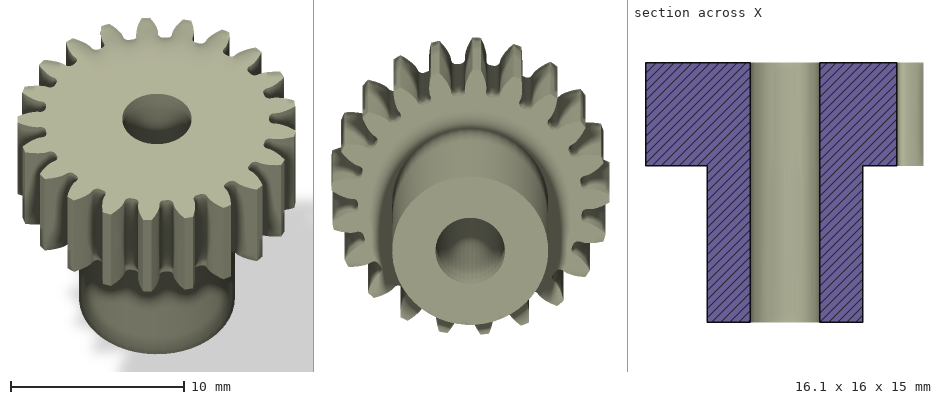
import cadquery as cq
import math

tooth_count = 21
tip_diameter = 16.1
pressure_angle = math.radians(20)
root_fillet = 0.3
gear_width = 6.0
hub_diameter = 9.0
hub_length = 9.0
bore_diameter = 4.0
first_tooth_angle = math.radians(-90)
flank_steps = 8

addendum_factor = 1.0
dedendum_factor = 1.25
module = tip_diameter / (tooth_count + 2 * addendum_factor)
pitch_radius = module * tooth_count / 2
tip_radius = tip_diameter / 2
base_radius = pitch_radius * math.cos(pressure_angle)
root_radius = pitch_radius - dedendum_factor * module
tooth_pitch = 2 * math.pi / tooth_count

fillet_center_radius = root_radius + root_fillet
fillet_angle = math.asin(root_fillet / fillet_center_radius)
fillet_top_radius = fillet_center_radius * math.cos(fillet_angle)


def polar(radius, angle):
    return cq.Vector(radius * math.cos(angle), radius * math.sin(angle))


def involute(angle):
    return math.tan(angle) - angle


base_half_angle = tooth_pitch / 4 + involute(pressure_angle)


def half_angle_at(radius):
    """Half the angle that a tooth spans at a radius on its involute flank."""
    return base_half_angle - involute(math.acos(base_radius / radius))


def flank_points(tooth_angle, side):
    """Involute points from base circle to tip; side is -1 or +1 about the tooth center."""
    points = []
    for step in range(flank_steps + 1):
        radius = base_radius + (tip_radius - base_radius) * (step / flank_steps) ** 2
        points.append(polar(radius, tooth_angle + side * half_angle_at(radius)))
    return points


def fillet_points(tooth_angle, side):
    """Start, middle and end of a root fillet, from the root circle up to the tooth foot."""
    foot_angle = tooth_angle + side * base_half_angle
    center_angle = foot_angle + side * fillet_angle
    center = polar(fillet_center_radius, center_angle)
    start = polar(root_radius, center_angle)
    end = polar(fillet_top_radius, foot_angle)
    toward_middle = ((start + end) / 2 - center).normalized()
    return start, center + toward_middle * root_fillet, end


def add_tooth(outline, tooth_angle):
    """Draw one tooth and the root arc that leads to the next tooth."""
    _, rise_middle, rise_end = fillet_points(tooth_angle, -1)
    rising_flank = flank_points(tooth_angle, -1)
    falling_flank = flank_points(tooth_angle, 1)[::-1]
    fall_end, fall_middle, fall_start = fillet_points(tooth_angle, 1)
    next_root, _, _ = fillet_points(tooth_angle + tooth_pitch, -1)
    gap_middle = polar(root_radius, tooth_angle + tooth_pitch / 2)

    outline = outline.threePointArc(rise_middle, rise_end)
    outline = outline.lineTo(rising_flank[0].x, rising_flank[0].y)
    outline = outline.spline(rising_flank[1:], includeCurrent=True)
    outline = outline.threePointArc(polar(tip_radius, tooth_angle), falling_flank[0])
    outline = outline.spline(falling_flank[1:], includeCurrent=True)
    outline = outline.lineTo(fall_start.x, fall_start.y)
    outline = outline.threePointArc(fall_middle, fall_end)
    return outline.threePointArc(gap_middle, next_root)


def make_gear():
    """Toothed wheel on top of the hub."""
    root_start, _, _ = fillet_points(first_tooth_angle, -1)
    outline = cq.Workplane("XY").moveTo(root_start.x, root_start.y)
    for tooth in range(tooth_count):
        outline = add_tooth(outline, first_tooth_angle + tooth * tooth_pitch)
    return outline.close().extrude(gear_width).translate((0, 0, hub_length))


def make_cylinder(diameter, height):
    """Upright cylinder on the hub axis, starting at the bottom of the hub."""
    return cq.Workplane("XY").circle(diameter / 2).extrude(height)


hub = make_cylinder(hub_diameter, hub_length)
bore = make_cylinder(bore_diameter, hub_length + gear_width)
result = make_gear().union(hub).cut(bore)